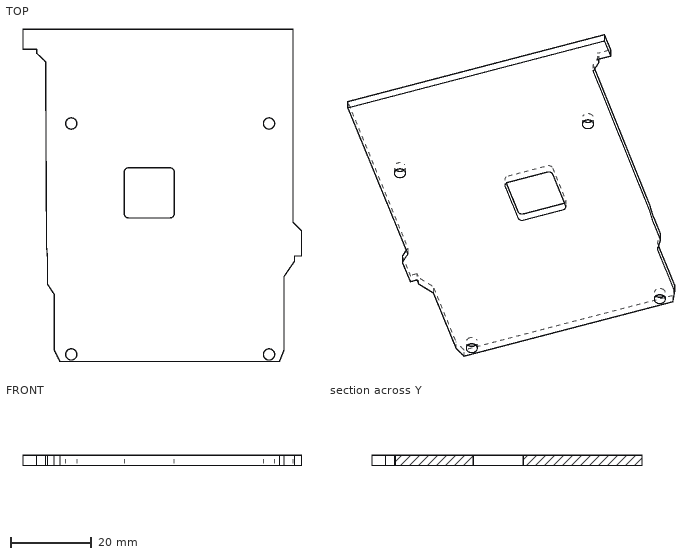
import cadquery as cq

WIDTH = 69.37
LENGTH = 82.78
THICKNESS = 2.63

LEFT = -WIDTH / 2
RIGHT = WIDTH / 2
TOP = LENGTH / 2
BOTTOM = -LENGTH / 2

HOOK_DEPTH = 5.0
HOOK_REACH = 3.42
HOOK_STEP = 1.0
HOOK_CHAMFER_X = 2.2
HOOK_CHAMFER_Y = 2.1

LEAN_INSET = 5.85
LEAN_DROP = 54.4
KINK_INSET = 5.92
KINK_DROP = 54.8
STRAIGHT_INSET = 6.1
STRAIGHT_DROP = 57.2

LOWER_LEFT_INSET = 7.75
LOWER_LEFT_START = 63.5
LOWER_LEFT_END = 66.0
LOWER_RIGHT_INSET = 4.35
LOWER_RIGHT_START = 61.6
CORNER_HEIGHT = 2.9
CORNER_LEFT_WIDTH = 1.45
CORNER_RIGHT_WIDTH = 1.15

EAR_REACH = 2.1
EAR_START = 48.05
EAR_CHAMFER = 2.1
EAR_END = 56.5
EAR_STEP_INSET = 1.75
EAR_STEP_HEIGHT = 1.3

HOLE_DIAMETER = 2.75
HOLE_SPACING_X = 49.25
HOLE_SPACING_Y = 57.5
LOWER_LEFT_HOLE_X = LEFT + 12.03
LOWER_LEFT_HOLE_Y = BOTTOM + 1.8

WINDOW_SIZE = 12.4
WINDOW_CORNER_RADIUS = 1.0
WINDOW_X = LEFT + 31.45
WINDOW_Y = TOP - 40.75


def plate_outline():
    """Corner points of the plate, clockwise from the top-left corner."""
    hook_chamfer_start = TOP - HOOK_DEPTH - HOOK_STEP
    left_edge_up = [
        (LEFT + LOWER_LEFT_INSET + CORNER_LEFT_WIDTH, BOTTOM),
        (LEFT + LOWER_LEFT_INSET, BOTTOM + CORNER_HEIGHT),
        (LEFT + LOWER_LEFT_INSET, TOP - LOWER_LEFT_END),
        (LEFT + STRAIGHT_INSET, TOP - LOWER_LEFT_START),
        (LEFT + STRAIGHT_INSET, TOP - STRAIGHT_DROP),
        (LEFT + KINK_INSET, TOP - KINK_DROP),
        (LEFT + LEAN_INSET, TOP - LEAN_DROP),
        (LEFT + HOOK_REACH + HOOK_CHAMFER_X, hook_chamfer_start - HOOK_CHAMFER_Y),
        (LEFT + HOOK_REACH, hook_chamfer_start),
        (LEFT + HOOK_REACH, TOP - HOOK_DEPTH),
        (LEFT, TOP - HOOK_DEPTH),
    ]
    right_edge_down = [
        (RIGHT - EAR_REACH, TOP - EAR_START),
        (RIGHT, TOP - EAR_START - EAR_CHAMFER),
        (RIGHT, TOP - EAR_END),
        (RIGHT - EAR_STEP_INSET, TOP - EAR_END),
        (RIGHT - EAR_STEP_INSET, TOP - EAR_END - EAR_STEP_HEIGHT),
        (RIGHT - LOWER_RIGHT_INSET, TOP - LOWER_RIGHT_START),
        (RIGHT - LOWER_RIGHT_INSET, BOTTOM + CORNER_HEIGHT),
        (RIGHT - LOWER_RIGHT_INSET - CORNER_RIGHT_WIDTH, BOTTOM),
    ]
    top_edge = [(LEFT, TOP), (RIGHT - EAR_REACH, TOP)]
    return top_edge + right_edge_down + left_edge_up


def plate():
    return cq.Workplane("XY").polyline(plate_outline()).close().extrude(THICKNESS)


def window_cutter():
    return (
        cq.Workplane("XY")
        .center(WINDOW_X, WINDOW_Y)
        .rect(WINDOW_SIZE, WINDOW_SIZE)
        .extrude(THICKNESS)
        .edges("|Z")
        .fillet(WINDOW_CORNER_RADIUS)
    )


def hole_cutters():
    centres = [
        (LOWER_LEFT_HOLE_X + column * HOLE_SPACING_X, LOWER_LEFT_HOLE_Y + row * HOLE_SPACING_Y)
        for column in (0, 1)
        for row in (0, 1)
    ]
    return cq.Workplane("XY").pushPoints(centres).circle(HOLE_DIAMETER / 2).extrude(THICKNESS)


result = plate().cut(window_cutter()).cut(hole_cutters())